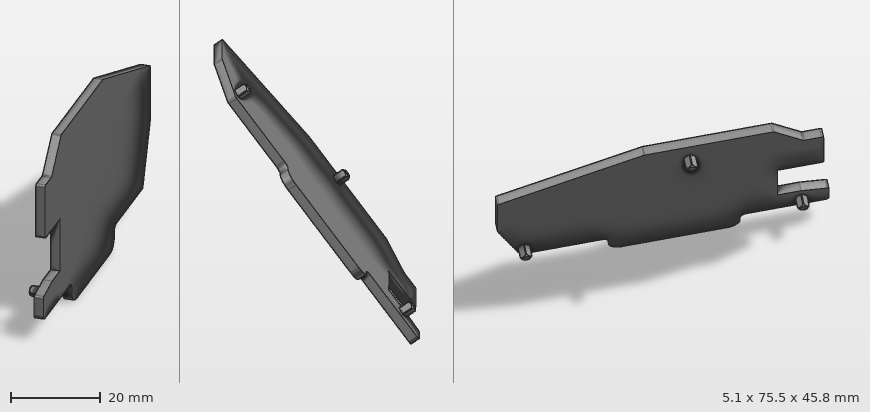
import cadquery as cq

overall_depth = 5.1
plate_thickness = 2.2
length = 75.45
height = 45.8
shoulder_z = 5.5
corner_radius = 0.5
end_corner_radius = 1.0

ridge_start_y = 12.6
ridge_end_y = 42.0
tail_top_z = 33.6
tail_bottom_z = 19.7
tail_foot_y = 70.2

arm_end_y = 1.2
arm_root_y = 5.8
arm_top_z = 38.5
notch_depth_y = 11.7
notch_top_z = 25.3
notch_bottom_z = 12.4
finger_bend_y = 6.3
finger_tip_z = 11.25

tab_start_y = 20.2
tab_end_y = 50.2
tab_outer_radius = 3.0
tab_root_radius = 1.5

pin_length = overall_depth - plate_thickness
pin_side = 2.0
pin_turned_diameter = 2.65
pin_tip_chamfer = 0.45
low_pin_z = 9.2
pin_centers = [(6.3, low_pin_z), (69.4, low_pin_z), (31.7, 40.35)]


def round_corners(body, corners, radius):
    """Round the plate edges that run along X through the given (y, z) corners."""
    reach = 0.04
    for y, z in corners:
        near_corner = cq.selectors.BoxSelector(
            (-plate_thickness, y - reach, z - reach), (0, y + reach, z + reach)
        )
        body = body.edges("|X").edges(near_corner).fillet(radius)
    return body


def make_plate():
    finger_corner = (0, shoulder_z)
    tab_roots = [(tab_start_y, shoulder_z), (tab_end_y, shoulder_z)]
    tab_corners = [(tab_start_y, 0), (tab_end_y, 0)]
    upper_corners = [
        (tail_foot_y, shoulder_z),
        (length, tail_bottom_z),
        (length, tail_top_z),
        (ridge_end_y, height),
        (ridge_start_y, height),
        (arm_root_y, arm_top_z),
        (arm_end_y, arm_top_z),
        (arm_end_y, notch_top_z),
    ]
    notch_corners = [(notch_depth_y, notch_top_z), (notch_depth_y, notch_bottom_z)]
    finger_bend = (finger_bend_y, notch_bottom_z)
    finger_tip = (0, finger_tip_z)
    tab = [tab_roots[0], tab_corners[0], tab_corners[1], tab_roots[1]]
    finger_top = [finger_bend, finger_tip]
    outline = [finger_corner] + tab + upper_corners + notch_corners + finger_top

    plate = cq.Workplane("YZ").polyline(outline).close().extrude(-plate_thickness)
    plate = round_corners(plate, tab_roots, tab_root_radius)
    plate = round_corners(plate, tab_corners, tab_outer_radius)
    plate = round_corners(plate, [finger_corner], end_corner_radius)
    return round_corners(plate, upper_corners + [finger_tip], corner_radius)


def make_pin(y, z):
    base = cq.Workplane("YZ", origin=(-plate_thickness, y, z))
    bar = base.transformed(rotate=(0, 0, 45)).rect(pin_side, pin_side).extrude(-pin_length)
    turned = base.circle(pin_turned_diameter / 2).extrude(-pin_length)
    return bar.intersect(turned.faces("<X").chamfer(pin_tip_chamfer))


result = make_plate()
for pin_y, pin_z in pin_centers:
    result = result.union(make_pin(pin_y, pin_z))